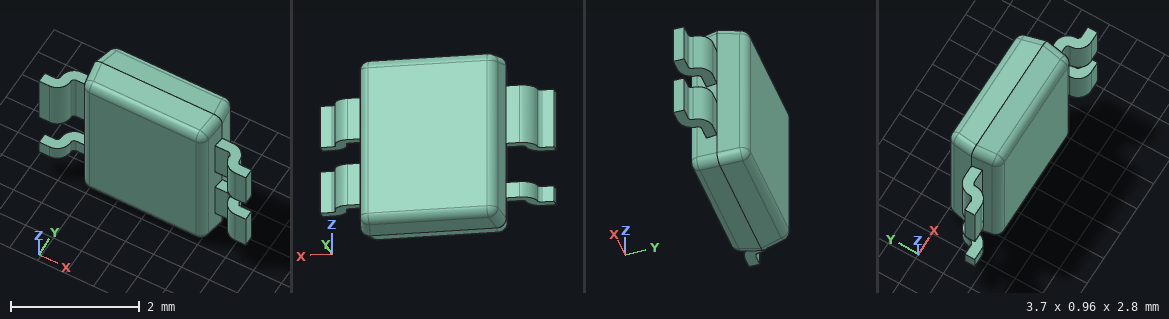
import cadquery as cq
import math

LEAD_SPAN = 3.7
BODY_WIDTH = 2.3
BODY_HEIGHT = 2.8
BODY_DEPTH = 0.95
HALF_DEPTH = BODY_DEPTH / 2
FRONT_DRAFT = 8.0
BACK_DRAFT = 10.0
EDGE_RADIUS = 0.15

STANDOFF = 0.007
LEAD_THICKNESS = 0.18
FOOT_LENGTH = 0.192
LEAD_DROP = HALF_DEPTH + STANDOFF
INNER_BEND = 0.06
OUTER_BEND = INNER_BEND + LEAD_THICKNESS

WIDE_LEAD_WIDTH = 0.945
NARROW_LEAD_WIDTH = 0.255
LEFT_LEADS_EDGE = 0.918
RIGHT_LEAD_WIDTH = 0.677
RIGHT_LEAD_OFFSET = 0.535

LEFT = -1
RIGHT = 1


def make_body_half(direction, draft):
    """Half of the body, tapering from the parting plane towards direction * Y."""
    half = (
        cq.Workplane(cq.Plane((0, 0, 0), (1, 0, 0), (0, direction, 0)))
        .rect(BODY_WIDTH, BODY_HEIGHT)
        .extrude(HALF_DEPTH, taper=draft)
    )
    rounded_edges = "not <Y" if direction > 0 else "not >Y"
    return half.edges(rounded_edges).fillet(EDGE_RADIUS)


def make_body():
    return make_body_half(-1, FRONT_DRAFT).union(make_body_half(1, BACK_DRAFT))


def make_lead(side, width, z_center, body):
    """Gull-wing lead on one side, its arm ending flush against the sloping body wall."""
    foot_y = -LEAD_DROP
    lower_y = foot_y + OUTER_BEND
    upper_y = -OUTER_BEND
    tip = -LEAD_SPAN / 2
    foot_end = tip + FOOT_LENGTH
    arm_start = foot_end + OUTER_BEND + INNER_BEND
    arm_end = -BODY_WIDTH / 2 + EDGE_RADIUS
    diagonal = math.sqrt(0.5)
    outer_mid = OUTER_BEND * diagonal
    inner_mid = INNER_BEND * diagonal

    profile = (
        cq.Workplane("XY", origin=(0, 0, z_center - width / 2))
        .moveTo(tip, foot_y)
        .lineTo(foot_end, foot_y)
        .threePointArc((foot_end + outer_mid, lower_y - outer_mid), (foot_end + OUTER_BEND, lower_y))
        .lineTo(foot_end + OUTER_BEND, upper_y)
        .threePointArc((arm_start - inner_mid, upper_y + inner_mid), (arm_start, -LEAD_THICKNESS))
        .lineTo(arm_end, -LEAD_THICKNESS)
        .lineTo(arm_end, 0)
        .lineTo(arm_start, 0)
        .threePointArc((arm_start - outer_mid, upper_y + outer_mid), (arm_start - OUTER_BEND, upper_y))
        .lineTo(foot_end + INNER_BEND, lower_y)
        .threePointArc((foot_end + inner_mid, lower_y - inner_mid), (foot_end, foot_y + LEAD_THICKNESS))
        .lineTo(tip, foot_y + LEAD_THICKNESS)
        .close()
    )
    lead = profile.extrude(width)
    if side == RIGHT:
        lead = lead.mirror("YZ")
    return lead.cut(body)


body = make_body()

lead_places = [
    (LEFT, WIDE_LEAD_WIDTH, LEFT_LEADS_EDGE - WIDE_LEAD_WIDTH / 2),
    (LEFT, NARROW_LEAD_WIDTH, NARROW_LEAD_WIDTH / 2 - LEFT_LEADS_EDGE),
    (RIGHT, RIGHT_LEAD_WIDTH, RIGHT_LEAD_OFFSET),
    (RIGHT, RIGHT_LEAD_WIDTH, -RIGHT_LEAD_OFFSET),
]
leads = [make_lead(side, width, z_center, body) for side, width, z_center in lead_places]

result = cq.Compound.makeCompound([body.solids().val(), *[lead.solids().val() for lead in leads]])